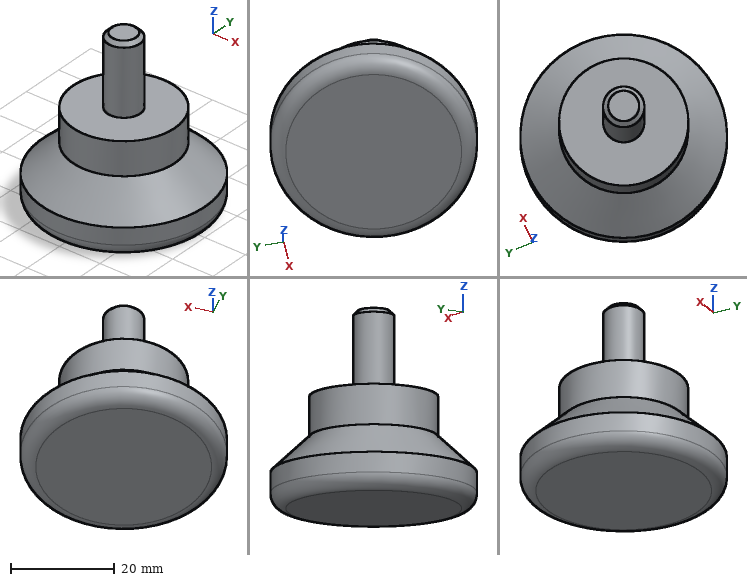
import cadquery as cq

base_diameter = 40.0
base_height = 7.0
base_edge_radius = 3.0

cone_height = 7.0

hub_diameter = 25.0
hub_height = 8.0

stud_diameter = 8.0
stud_length = 17.0
stud_chamfer = 1.0

hub_bottom_z = base_height + cone_height
hub_top_z = hub_bottom_z + hub_height


def make_base():
    disc = cq.Workplane("XY").circle(base_diameter / 2).extrude(base_height)
    return disc.faces("<Z").edges().fillet(base_edge_radius)


def make_cone():
    return (
        cq.Workplane("XY")
        .workplane(offset=base_height)
        .circle(base_diameter / 2)
        .workplane(offset=cone_height)
        .circle(hub_diameter / 2)
        .loft(ruled=True)
    )


def make_hub():
    return cq.Workplane("XY").workplane(offset=hub_bottom_z).circle(hub_diameter / 2).extrude(hub_height)


def make_stud():
    stud = cq.Workplane("XY").workplane(offset=hub_top_z).circle(stud_diameter / 2).extrude(stud_length)
    return stud.faces(">Z").edges().chamfer(stud_chamfer)


result = make_base().union(make_cone()).union(make_hub()).union(make_stud())